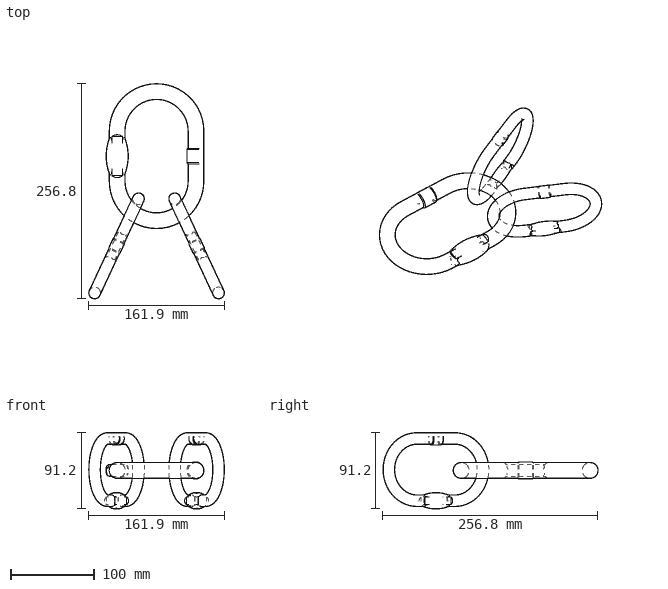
import cadquery as cq

COLLAR_DIAMETER_RATIO = 1.075
COLLAR_CREST_LENGTH_RATIO = 0.83
COLLAR_FOOT_LENGTH_RATIO = COLLAR_CREST_LENGTH_RATIO + 2 * (COLLAR_DIAMETER_RATIO - 1)
LUG_WIDTH_RATIO = 1.4
LUG_THICKNESS_RATIO = 0.75
LUG_FLAT_LENGTH_RATIO = 2.44
LUG_ARC_SAG_RATIO = 0.25
LUG_EDGE_RADIUS_RATIO = 0.25

MASTER_WIRE = 19.0
MASTER_INNER_LENGTH = 135.0
MASTER_INNER_WIDTH = 75.0

SIDE_WIRE = 14.0
SIDE_INNER_LENGTH = 110.0
SIDE_INNER_WIDTH = 60.4
SIDE_TILT = 25.0
SIDE_CENTRE_X = 47.74
SIDE_CENTRE_Y = -107.06
SIDE_CENTRE_Z = 1.0


def bent_wire(wire, bend_radius, half_straight, half_gap):
    """Oval of round wire in the XY plane, left open at the middle of its +X leg."""
    path = (
        cq.Workplane("XY")
        .moveTo(bend_radius, half_gap)
        .lineTo(bend_radius, half_straight)
        .threePointArc((0, half_straight + bend_radius), (-bend_radius, half_straight))
        .lineTo(-bend_radius, -half_straight)
        .threePointArc((0, -half_straight - bend_radius), (bend_radius, -half_straight))
        .lineTo(bend_radius, -half_gap)
    )
    start = cq.Plane(origin=(bend_radius, half_gap, 0), xDir=(1, 0, 0), normal=(0, 1, 0))
    return cq.Workplane(start).circle(wire / 2).sweep(path)


def round_section(x, y, diameter):
    """Circular wire lying across the +X leg."""
    return cq.Wire.makeCircle(diameter / 2, cq.Vector(x, y, 0), cq.Vector(0, 1, 0))


def collar(wire, bend_radius):
    """Thickened ring that closes the +X leg, flush with the outside of the wire."""
    crest_diameter = COLLAR_DIAMETER_RATIO * wire
    crest_x = bend_radius - (crest_diameter - wire) / 2
    half_crest = COLLAR_CREST_LENGTH_RATIO * wire / 2
    half_foot = COLLAR_FOOT_LENGTH_RATIO * wire / 2
    stations = [
        round_section(bend_radius, -half_foot, wire),
        round_section(crest_x, -half_crest, crest_diameter),
        round_section(crest_x, half_crest, crest_diameter),
        round_section(bend_radius, half_foot, wire),
    ]
    return cq.Workplane(cq.Solid.makeLoft(stations, True))


def lug_flat_cutter(wire, bend_radius, side):
    """Trapezoid that planes one face of the -X leg, with 45 degree run-outs."""
    half_thickness = LUG_THICKNESS_RATIO * wire / 2
    half_flat = LUG_FLAT_LENGTH_RATIO * wire / 2
    rise = wire / 2
    profile = [
        (-half_flat, side * half_thickness),
        (half_flat, side * half_thickness),
        (half_flat + rise, side * (half_thickness + rise)),
        (-half_flat - rise, side * (half_thickness + rise)),
    ]
    return (
        cq.Workplane("YZ", origin=(-bend_radius, 0, 0))
        .polyline(profile)
        .close()
        .extrude(wire / 2, both=True)
    )


def lug(wire, bend_radius):
    """Lens-shaped plate on the -X leg with rounded long edges."""
    half_width = LUG_WIDTH_RATIO * wire / 2
    half_length = LUG_FLAT_LENGTH_RATIO * wire / 2
    end_half_width = half_width - LUG_ARC_SAG_RATIO * wire
    half_thickness = LUG_THICKNESS_RATIO * wire / 2
    return (
        cq.Workplane("XY", origin=(-bend_radius, 0, 0))
        .moveTo(end_half_width, -half_length)
        .threePointArc((half_width, 0), (end_half_width, half_length))
        .lineTo(-end_half_width, half_length)
        .threePointArc((-half_width, 0), (-end_half_width, -half_length))
        .close()
        .extrude(half_thickness, both=True)
        .edges("%CIRCLE")
        .fillet(LUG_EDGE_RADIUS_RATIO * wire)
    )


def link(wire, inner_length, inner_width):
    """Complete link: length along Y, lug on the -X leg and collar on the +X leg."""
    bend_radius = (inner_width + wire) / 2
    half_straight = (inner_length - inner_width) / 2
    half_gap = COLLAR_FOOT_LENGTH_RATIO * wire / 2
    body = bent_wire(wire, bend_radius, half_straight, half_gap)
    body = body.union(collar(wire, bend_radius))
    for side in (-1, 1):
        body = body.cut(lug_flat_cutter(wire, bend_radius, side))
    return body.union(lug(wire, bend_radius))


def side_link(direction):
    """Upright link, collar on top; direction -1 leans to -X and +1 to +X."""
    return (
        link(SIDE_WIRE, SIDE_INNER_LENGTH, SIDE_INNER_WIDTH)
        .rotate((0, 0, 0), (0, 1, 0), -90)
        .rotate((0, 0, 0), (0, 0, 1), direction * SIDE_TILT)
        .translate((direction * SIDE_CENTRE_X, SIDE_CENTRE_Y, SIDE_CENTRE_Z))
    )


master_link = link(MASTER_WIRE, MASTER_INNER_LENGTH, MASTER_INNER_WIDTH)
side_links = [side_link(direction) for direction in (-1, 1)]

result = cq.Compound.makeCompound(
    [master_link.solids().val(), *[body.solids().val() for body in side_links]]
)